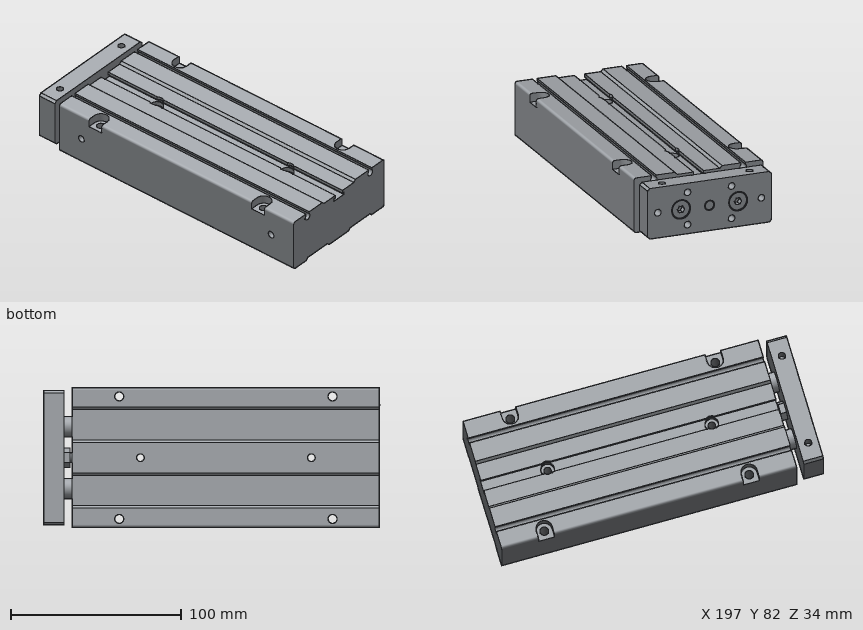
import cadquery as cq
import math


total_length = 197.0
plate_thickness = 12.0
plate_gap = 4.7
housing_start = plate_thickness + plate_gap
pip_length = 0.4
housing_length = total_length - housing_start - pip_length

housing_width = 82.0
housing_height = 34.0
half_width = housing_width / 2
top_z = housing_height / 2
bottom_z = -top_z
edge_fillet = 1.5
relief_depth = 1.48
channel_half_width = 15.0
key_width = 6.5
key_neck_depth = 2.0
key_foot_width = 8.9
key_foot_height = 1.5
pad_half_width = 8.9
foot_inner_y = 29.5

groove_y = 28.4
groove_mouth = 3.0
groove_diameter = 4.1
groove_centre_depth = 2.8

pip_diameter = 0.5
pip_y = -30.7
pip_z = 14.0

corner_hole_x = (housing_start + 27.5, housing_start + 152.5)
corner_hole_y = 35.9
corner_hole_diameter = 5.1
corner_seat_width = 9.7
corner_seat_depth = 5.3
middle_hole_x = (housing_start + 40.0, housing_start + 140.0)
middle_hole_diameter = 4.3
middle_seat_diameter = 8.0
middle_seat_depth = 7.9
port_x = (housing_start + 17.0, housing_start + 162.5)
port_diameter = 4.3
port_depth = 5.0
port_passage_diameter = 2.0

plate_width = 78.8
plate_height = 31.5
plate_chamfer = 1.48
plate_hole_diameter = 4.1
plate_hole_depth = 7.9
face_hole_points = [(-32.9, 0), (32.9, 0), (-14.0, -10.0), (-14.0, 10.0), (14.0, -10.0), (14.0, 10.0)]
top_hole_y = 27.8

rod_diameter = 12.0
rod_y = 18.1
rod_bore_depth = 157.6
rod_end_diameter = 11.0
hex_socket_flats = 4.0
hex_socket_depth = 4.0
stud_diameter = 6.0
stud_ring_diameter = 6.3
stud_end_diameter = 5.5
nut_flats = 10.0
nut_thickness = 3.5


def across_corners(flats):
    """Corner-to-corner size of a hexagon with the given size across flats."""
    return flats / math.cos(math.radians(30))


def both_sides(y, z=0):
    return [(-y, z), (y, z)]


def yz_plane(x):
    """Sketch plane facing +X; sketch axes are Y and Z."""
    return cq.Workplane("YZ", origin=(x, 0, 0))


def xy_plane(z):
    return cq.Workplane("XY", origin=(0, 0, z))


def rods(start, length):
    return yz_plane(start).pushPoints(both_sides(rod_y)).circle(rod_diameter / 2).extrude(length)


def housing_profile():
    block = yz_plane(housing_start).rect(housing_width, housing_height).extrude(housing_length)
    return block.edges("|X").fillet(edge_fillet)


def long_relief(y_min, y_max, face_z, inward):
    """Channel with 45 degree sides along the whole housing; inward is -1 from the top, +1 from the bottom."""
    floor_z = face_z + inward * relief_depth
    outline = [
        (y_min, face_z),
        (y_max, face_z),
        (y_max - relief_depth, floor_z),
        (y_min + relief_depth, floor_z),
    ]
    return yz_plane(housing_start).polyline(outline).close().extrude(housing_length)


def key_slot():
    """T-slot along the whole housing, from the top face down."""
    neck_height = relief_depth + key_neck_depth
    neck = (
        yz_plane(housing_start).center(0, top_z - neck_height / 2)
        .rect(key_width, neck_height).extrude(housing_length)
    )
    foot = (
        yz_plane(housing_start).center(0, top_z - neck_height - key_foot_height / 2)
        .rect(key_foot_width, key_foot_height).extrude(housing_length)
    )
    return neck.union(foot)


def sensor_groove(y):
    centre_z = top_z - groove_centre_depth
    mouth = (
        yz_plane(housing_start).center(y, (top_z + centre_z) / 2)
        .rect(groove_mouth, groove_centre_depth).extrude(housing_length)
    )
    return mouth.union(
        yz_plane(housing_start).center(y, centre_z).circle(groove_diameter / 2).extrude(housing_length)
    )


def corner_hole(x, side):
    """Through hole in a round-ended seat that is open to the side of the housing."""
    y = side * corner_hole_y
    seat_z = top_z - corner_seat_depth
    open_length = half_width - corner_hole_y
    seat = xy_plane(seat_z).center(x, y).circle(corner_seat_width / 2).extrude(corner_seat_depth)
    seat = seat.union(
        xy_plane(seat_z).center(x, y + side * open_length / 2)
        .rect(corner_seat_width, open_length).extrude(corner_seat_depth)
    )
    hole = xy_plane(bottom_z).center(x, y).circle(corner_hole_diameter / 2).extrude(housing_height)
    return seat.union(hole)


def middle_hole(x):
    hole = xy_plane(bottom_z).center(x, 0).circle(middle_hole_diameter / 2).extrude(housing_height)
    seat = xy_plane(top_z).center(x, 0).circle(middle_seat_diameter / 2).extrude(-middle_seat_depth)
    return hole.union(seat)


def port(x):
    """Stepped port in the -Y side that leads into the rod bore."""
    side = cq.Workplane("XZ", origin=(x, -half_width, 0))
    passage_length = half_width - rod_y
    passage = side.circle(port_passage_diameter / 2).extrude(-passage_length)
    return passage.union(side.circle(port_diameter / 2).extrude(-port_depth))


def rear_pip():
    end_face = yz_plane(housing_start + housing_length)
    return end_face.center(pip_y, pip_z).circle(pip_diameter / 2).extrude(pip_length)


def make_housing():
    body = housing_profile()
    body = body.cut(long_relief(-channel_half_width, channel_half_width, top_z, -1))
    body = body.cut(long_relief(pad_half_width, foot_inner_y, bottom_z, 1))
    body = body.cut(long_relief(-foot_inner_y, -pad_half_width, bottom_z, 1))
    body = body.cut(key_slot())
    for side in (-1, 1):
        body = body.cut(sensor_groove(side * groove_y))
        for x in corner_hole_x:
            body = body.cut(corner_hole(x, side))
    for x in middle_hole_x:
        body = body.cut(middle_hole(x))
    for x in port_x:
        body = body.cut(port(x))
    body = body.union(rear_pip())
    return body.cut(rods(housing_start, rod_bore_depth))


def ring_groove(y, outer_diameter, inner_diameter):
    """Shallow ring around a rod end: a 45 degree cone outside, a straight wall inside."""
    depth = (outer_diameter - inner_diameter) / 2
    cone = yz_plane(0).center(y, 0).circle(outer_diameter / 2).extrude(depth, taper=45)
    core = yz_plane(0).center(y, 0).circle(inner_diameter / 2).extrude(depth)
    return cone.cut(core)


def make_moving_plate():
    plate = yz_plane(0).rect(plate_width, plate_height).extrude(plate_thickness)
    plate = plate.edges("|X").chamfer(plate_chamfer)

    face_holes = yz_plane(0).pushPoints(face_hole_points).circle(plate_hole_diameter / 2)
    plate = plate.cut(face_holes.extrude(plate_hole_depth))
    top_holes = xy_plane(plate_height / 2).pushPoints(
        [(plate_thickness / 2, -top_hole_y), (plate_thickness / 2, top_hole_y)]
    )
    plate = plate.cut(top_holes.circle(plate_hole_diameter / 2).extrude(-plate_hole_depth))

    plate = plate.union(rods(plate_thickness, plate_gap + rod_bore_depth))
    plate = plate.union(yz_plane(plate_thickness).circle(stud_diameter / 2).extrude(plate_gap))
    nut = yz_plane(plate_thickness).polygon(6, across_corners(nut_flats))
    plate = plate.union(nut.extrude(nut_thickness))

    sockets = yz_plane(0).pushPoints(both_sides(rod_y)).polygon(6, across_corners(hex_socket_flats))
    plate = plate.cut(sockets.extrude(hex_socket_depth))
    for y in (-rod_y, rod_y):
        plate = plate.cut(ring_groove(y, rod_diameter, rod_end_diameter))
    return plate.cut(ring_groove(0, stud_ring_diameter, stud_end_diameter))


housing = make_housing()
moving_plate = make_moving_plate()

result = cq.Compound.makeCompound([housing.val(), moving_plate.val()])